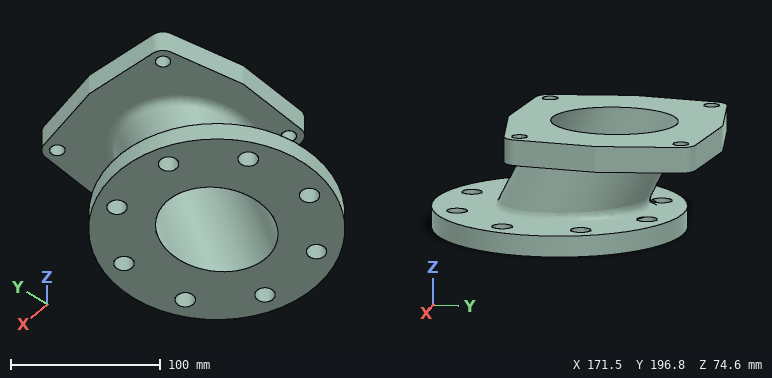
import cadquery as cq
import math

base_diameter = 171.5
base_thickness = 14.5
base_hole_diameter = 13.5
base_hole_circle = 139.8
base_hole_count = 8

overall_length = 196.8
overall_height = 74.6
top_thickness = 17.7
top_half_width = 73.0
top_hole_offset = 55.0
top_hole_diameter = 10.2
top_corner_radius = 10.0
side_taper = 0.138

bore_diameter = 76.4
neck_diameter = 89.4
neck_run = 37.4
neck_fillet = 6.1

top_centre_y = overall_length - base_diameter / 2 - top_half_width
top_underside = overall_height - top_thickness


def leaning_cylinder(diameter):
    """Round bar along the neck axis, running past both end faces."""
    axis = cq.Vector(0, neck_run, overall_height)
    plane = cq.Plane(
        origin=(axis * -1).toTuple(), xDir=(1, 0, 0), normal=axis.toTuple()
    )
    return cq.Workplane(plane).circle(diameter / 2).extrude(3 * axis.Length)


def base_flange():
    return cq.Workplane("XY").circle(base_diameter / 2).extrude(base_thickness)


def top_flange():
    corner = top_half_width / (1 + side_taper)
    outline = []
    for turn in range(4):
        c = round(math.cos(turn * math.pi / 2))
        s = round(math.sin(turn * math.pi / 2))
        for x, y in ((top_half_width, 0), (corner, corner)):
            outline.append((c * x - s * y, s * x + c * y))
    plate = (
        cq.Workplane("XY", origin=(0, top_centre_y, top_underside))
        .polyline(outline)
        .close()
        .extrude(top_thickness)
    )
    peaks = plate.edges("|Z").edges("<X or >X or <Y or >Y").vals()
    corners = [
        edge
        for edge in plate.edges("|Z").vals()
        if not any(edge.isSame(peak) for peak in peaks)
    ]
    return plate.newObject(corners).fillet(top_corner_radius)


def neck():
    """Leaning solid bar cut off level at the two inner flange faces."""
    slab = (
        cq.Workplane("XY", origin=(0, 0, base_thickness))
        .rect(2 * overall_length, 2 * overall_length)
        .extrude(top_underside - base_thickness)
    )
    return leaning_cylinder(neck_diameter).intersect(slab)


def base_holes():
    return (
        cq.Workplane("XY")
        .polarArray(base_hole_circle / 2, 180 / base_hole_count, 360, base_hole_count)
        .circle(base_hole_diameter / 2)
        .extrude(base_thickness)
    )


def top_holes():
    return (
        cq.Workplane("XY", origin=(0, top_centre_y, top_underside))
        .rect(2 * top_hole_offset, 2 * top_hole_offset, forConstruction=True)
        .vertices()
        .circle(top_hole_diameter / 2)
        .extrude(top_thickness)
    )


body = base_flange().union(neck()).union(top_flange())

body = body.edges("%ELLIPSE").fillet(neck_fillet)

body = body.cut(leaning_cylinder(bore_diameter))
result = body.cut(base_holes()).cut(top_holes())